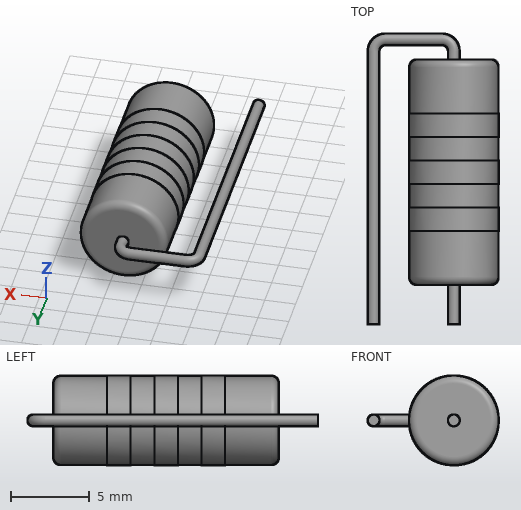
import cadquery as cq

body_diameter = 5.68
body_length = 14.3
rim_radius = 0.5

band_diameter = 5.71
band_width = 1.5
band_count = 3
band_pitch = 2 * band_width

wire_diameter = 0.75
bend_radius = 0.75
lead_spacing = 5.09
total_length = 18.43
front_lead_length = 2.49

front_end = -total_length / 2
rear_end = total_length / 2
body_front = front_end + front_lead_length
body_middle = body_front + body_length / 2
cross_run = rear_end - wire_diameter / 2


def cylinder_along_y(diameter, start, length):
    """Cylinder on the Y axis that runs from start toward +Y."""
    return cq.Workplane("XZ", origin=(0, start, 0)).circle(diameter / 2).extrude(-length)


def make_body():
    body = cylinder_along_y(body_diameter, body_front, body_length)
    return body.edges("%CIRCLE").fillet(rim_radius)


def make_band(index):
    middle = body_middle + (index - (band_count - 1) / 2) * band_pitch
    return cylinder_along_y(band_diameter, middle - band_width / 2, band_width)


def make_lead():
    """Wire swept along a U: along the body axis, across, and back at -X."""
    bend_start = cross_run - bend_radius
    path = (
        cq.Workplane("XY")
        .moveTo(0, front_end)
        .lineTo(0, bend_start)
        .tangentArcPoint((-bend_radius, cross_run), relative=False)
        .lineTo(bend_radius - lead_spacing, cross_run)
        .tangentArcPoint((-lead_spacing, bend_start), relative=False)
        .lineTo(-lead_spacing, front_end)
    )
    profile = cq.Workplane("XZ", origin=(0, front_end, 0)).circle(wire_diameter / 2)
    return profile.sweep(path)


result = make_body()
for band_index in range(band_count):
    result = result.union(make_band(band_index))
result = result.union(make_lead())